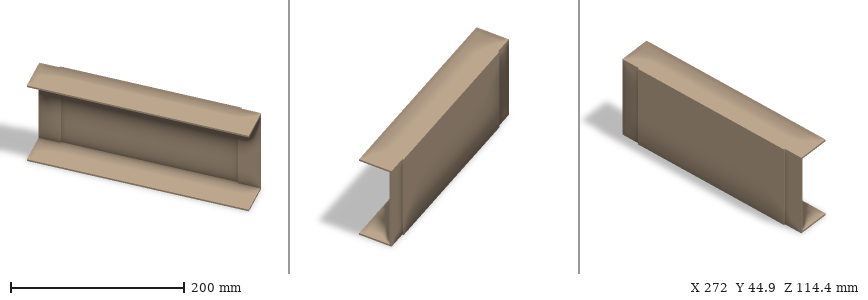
import cadquery as cq

length = 272.0
overall_depth = 44.9
overall_height = 114.4
sheet = 2.5
web_offset = 1.7
panel_width = 222.0

channel_depth = overall_depth - web_offset
inner_height = overall_height - 2 * sheet
recess_width = panel_width - 2 * sheet


def centred_block(width, y_start, y_end, height):
    """Block centred on X and Z that spans y_start to y_end."""
    block = cq.Workplane("XY").box(width, y_end - y_start, height)
    return block.translate((0, (y_start + y_end) / 2, 0))


def channel():
    """Plain channel with its flange edges on Y = 0."""
    outside = centred_block(length, 0, channel_depth, overall_height)
    inside = centred_block(length, 0, channel_depth - sheet, inner_height)
    return outside.cut(inside)


def raised_panel():
    """Full-height panel standing proud of the back of the web."""
    return centred_block(panel_width, channel_depth - sheet, overall_depth, overall_height)


def panel_recess():
    """Space on the -Y side of the panel, leaving one sheet thickness all around."""
    return centred_block(recess_width, channel_depth - sheet, overall_depth - sheet, inner_height)


result = channel().union(raised_panel()).cut(panel_recess())